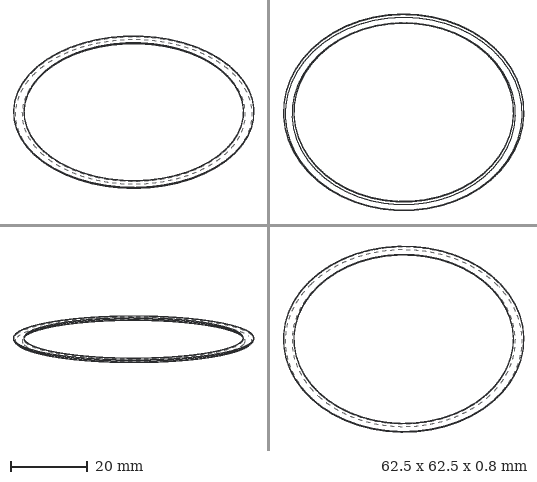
import cadquery as cq

outer_diameter = 62.5
bore_diameter = 57.0
thickness = 0.8
bevel = 0.5

outer_radius = outer_diameter / 2
bore_radius = bore_diameter / 2

section = (
    cq.Workplane("XZ")
    .moveTo(bore_radius + bevel, 0)
    .lineTo(outer_radius - bevel, 0)
    .lineTo(outer_radius, bevel)
    .lineTo(outer_radius, thickness)
    .lineTo(bore_radius, thickness)
    .lineTo(bore_radius, bevel)
    .close()
)

result = section.revolve(360, (0, 0, 0), (0, 1, 0))